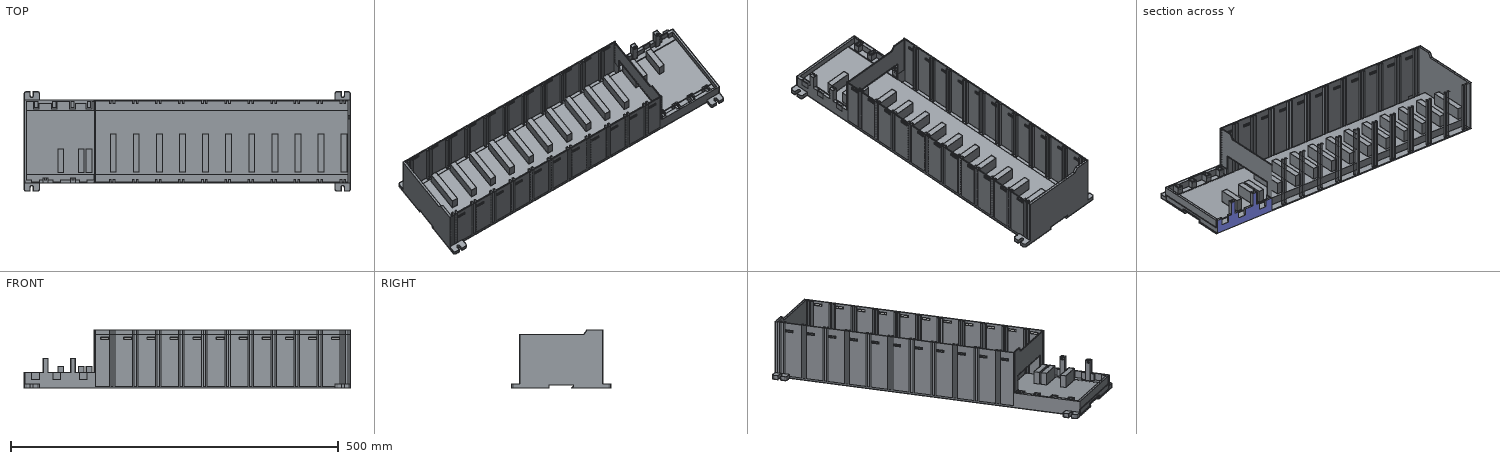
import cadquery as cq

LENGTH = 497.5
FULL_DEPTH = 151.5
HEIGHT = 89.0

BODY_DEPTH = 127.0
HALF_BODY = BODY_DEPTH / 2
LOW_HEIGHT = 24.0
CAGE_X = 106.5
LONG_WALL = 1.5
END_WALL = 3.5
PARTITION = 2.5
INNER_HALF = HALF_BODY - LONG_WALL
CAGE_INNER_X = CAGE_X + PARTITION
INNER_END_X = LENGTH - END_WALL

FRONT_TOP = 82.0
STEP_TOP_Y = 39.5
STEP_FOOT_Y = 34.5

BOARD_TOP = 14.5
BOARD_THICKNESS = 1.5
BOARD_BACK_Y = 47.0
BOARD_FRONT_Y = -50.0
LOW_TRAY_Z = BOARD_TOP - BOARD_THICKNESS
CAGE_TRAY_Z = 2.5
WINDOW_TOP = 46.5

CONNECTOR_TOP = 33.5
CONNECTOR_WIDTH = 9.0
CAGE_CONNECTOR_FRONT_Y = -46.5
CAGE_CONNECTOR_DEPTH = 57.5
LOW_CONNECTOR_FRONT_Y = -47.0
LOW_CONNECTOR_DEPTH = 36.0
LOW_CONNECTOR_X = (51.0, 82.5, 94.5)

CARD_COUNT = 11
FIRST_TO_LAST_CARD = 352.0
CARD_PITCH = FIRST_TO_LAST_CARD / (CARD_COUNT - 1)
FIRST_SLOT_X = 117.0
SLOT_WIDTH = 12.0
SLOT_BOTTOM = 74.5
SLOT_HEIGHT = 3.0
FIRST_GUIDE_X = 130.0
GUIDE_WIDTH = 8.5
GUIDE_RIB = 2.5
GUIDE_DEPTH = 4.0
FIRST_CONNECTOR_X = 131.5

POST_X = (14.0, 41.5, 69.0, 94.5)
POST_WIDTH = 9.0
POST_FRONT_Y = 49.5
POST_WALL = 2.0
POST_POCKET_DEPTH = 5.0
BACK_WALL_INNER_Y = 60.5
THICK_BACK_Y = 57.5
THICK_BACK_SPANS = ((POST_X[0], POST_X[1]), (POST_X[2], POST_X[3]))
THICK_FRONT_Y = -58.5
THICK_FRONT_SPANS = ((END_WALL, 11.0), (23.5, 44.0), (55.5, 84.0), (96.0, CAGE_X))

TAB_X = (29.0, 70.5)
TAB_WIDTH = 7.5
TAB_TOP = 45.5
TAB_BACK_Y = -55.5
TAB_NOTCH_WIDTH = 3.0
TAB_NOTCH_LENGTH = 3.0
TAB_NOTCH_DEPTH = 4.0

FOOT_LENGTH = 23.5
FOOT_HEIGHT = 6.5
FOOT_RADIUS = 3.0
FOOT_SLOT_X = 11.5
FOOT_SLOT_WIDTH = 4.5
FOOT_SLOT_DEPTH = 8.5

RAIL_DEPTH = 4.5
RAIL_HALF = 18.5
RAIL_LIP_Y = 15.5
RAIL_LIP_HEIGHT = 3.0

SET_BACK = 1.0
END_SET_BACK_TOP = 10.5
SEAM_WIDTH = 1.5


def block(x0, x1, y0, y1, z0, z1):
    """Box between the given limits."""
    return cq.Workplane("XY").box(x1 - x0, y1 - y0, z1 - z0, centered=False).translate((x0, y0, z0))


def card_x(first_x):
    """X of one feature at each card position."""
    return [first_x + i * CARD_PITCH for i in range(CARD_COUNT)]


def make_cage():
    profile = [
        (-HALF_BODY, 0),
        (-HALF_BODY, FRONT_TOP),
        (STEP_FOOT_Y, FRONT_TOP),
        (STEP_TOP_Y, HEIGHT),
        (HALF_BODY, HEIGHT),
        (HALF_BODY, 0),
    ]
    cage = cq.Workplane("YZ").workplane(offset=CAGE_X).polyline(profile).close().extrude(LENGTH - CAGE_X)
    cage = cage.cut(block(CAGE_INNER_X, INNER_END_X, -INNER_HALF, INNER_HALF, BOARD_TOP, HEIGHT))
    for y0, y1 in ((BOARD_BACK_Y, INNER_HALF), (-INNER_HALF, BOARD_FRONT_Y)):
        cage = cage.cut(block(CAGE_INNER_X, INNER_END_X, y0, y1, CAGE_TRAY_Z, BOARD_TOP))
    return cage.cut(block(CAGE_X, CAGE_INNER_X, BOARD_FRONT_Y, BOARD_BACK_Y, BOARD_TOP, WINDOW_TOP))


def add_card_guides(cage):
    guide_rows = (
        (INNER_HALF - GUIDE_DEPTH, INNER_HALF, HEIGHT),
        (-INNER_HALF, GUIDE_DEPTH - INNER_HALF, FRONT_TOP),
    )
    for x in card_x(FIRST_GUIDE_X):
        for rib_x in (x, x + GUIDE_WIDTH - GUIDE_RIB):
            for y0, y1, top in guide_rows:
                cage = cage.union(block(rib_x, rib_x + GUIDE_RIB, y0, y1, CAGE_TRAY_Z, top))
    return cage


def cut_latch_slots(cage):
    slot_top = SLOT_BOTTOM + SLOT_HEIGHT
    for x in card_x(FIRST_SLOT_X):
        cage = cage.cut(block(x, x + SLOT_WIDTH, -HALF_BODY, HALF_BODY, SLOT_BOTTOM, slot_top))
    return cage


def make_low_bay():
    bay = block(0, CAGE_X, -HALF_BODY, HALF_BODY, 0, LOW_HEIGHT)
    bay = bay.cut(block(END_WALL, CAGE_X, -INNER_HALF, BACK_WALL_INNER_Y, LOW_TRAY_Z, LOW_HEIGHT))
    bay = bay.union(block(END_WALL, CAGE_X, BOARD_FRONT_Y, BOARD_BACK_Y, LOW_TRAY_Z, BOARD_TOP))
    for x0, x1 in THICK_BACK_SPANS:
        bay = bay.union(block(x0, x1, THICK_BACK_Y, HALF_BODY, LOW_TRAY_Z, LOW_HEIGHT))
    for x0, x1 in THICK_FRONT_SPANS:
        bay = bay.union(block(x0, x1, -HALF_BODY, THICK_FRONT_Y, LOW_TRAY_Z, LOW_HEIGHT))
    return bay


def add_posts(bay):
    for x in POST_X:
        bay = bay.union(block(x, x + POST_WIDTH, POST_FRONT_Y, HALF_BODY, LOW_TRAY_Z, LOW_HEIGHT))
        pocket = block(
            x + POST_WALL, x + POST_WIDTH - POST_WALL,
            POST_FRONT_Y + POST_WALL, BACK_WALL_INNER_Y,
            LOW_HEIGHT - POST_POCKET_DEPTH, LOW_HEIGHT,
        )
        bay = bay.cut(pocket)
    return bay


def add_tabs(bay):
    for x in TAB_X:
        bay = bay.union(block(x, x + TAB_WIDTH, -HALF_BODY, TAB_BACK_Y, LOW_TRAY_Z, TAB_TOP))
        notch_x = x + (TAB_WIDTH - TAB_NOTCH_WIDTH) / 2
        notch = block(
            notch_x, notch_x + TAB_NOTCH_WIDTH,
            TAB_BACK_Y - TAB_NOTCH_LENGTH, TAB_BACK_Y,
            TAB_TOP - TAB_NOTCH_DEPTH, TAB_TOP,
        )
        bay = bay.cut(notch)
    return bay


def make_connectors():
    rows = (
        (card_x(FIRST_CONNECTOR_X), CAGE_CONNECTOR_FRONT_Y, CAGE_CONNECTOR_DEPTH),
        (LOW_CONNECTOR_X, LOW_CONNECTOR_FRONT_Y, LOW_CONNECTOR_DEPTH),
    )
    connectors = cq.Workplane("XY")
    for places, front_y, depth in rows:
        for x in places:
            connector = block(x, x + CONNECTOR_WIDTH, front_y, front_y + depth, LOW_TRAY_Z, CONNECTOR_TOP)
            connectors = connectors.add(connector)
    return connectors.combine()


def make_feet():
    """Four feet, mirrored from the one at the back left."""
    outer_y = FULL_DEPTH / 2
    foot = block(0, FOOT_LENGTH, INNER_HALF, outer_y, 0, FOOT_HEIGHT)
    foot = foot.edges("|Z and >Y").fillet(FOOT_RADIUS)
    slot_radius = FOOT_SLOT_WIDTH / 2
    slot_end_y = outer_y - FOOT_SLOT_DEPTH + slot_radius
    slot = block(FOOT_SLOT_X - slot_radius, FOOT_SLOT_X + slot_radius, slot_end_y, outer_y, 0, FOOT_HEIGHT)
    slot = slot.union(
        cq.Workplane("XY").center(FOOT_SLOT_X, slot_end_y).circle(slot_radius).extrude(FOOT_HEIGHT))
    left_back = foot.cut(slot)
    back = left_back.union(left_back.mirror("YZ").translate((LENGTH, 0, 0)))
    return back.union(back.mirror("XZ"))


def make_rail_groove():
    profile = [
        (RAIL_LIP_Y, 0),
        (RAIL_HALF, RAIL_LIP_HEIGHT),
        (RAIL_HALF, RAIL_DEPTH),
        (-RAIL_HALF, RAIL_DEPTH),
        (-RAIL_HALF, 0),
    ]
    return cq.Workplane("YZ").polyline(profile).close().extrude(LENGTH)


def set_back_left_faces(body):
    body = body.cut(block(CAGE_X, CAGE_X + SET_BACK, -INNER_HALF, INNER_HALF, LOW_HEIGHT, HEIGHT))
    recess = block(0, SET_BACK, -INNER_HALF, INNER_HALF, LONG_WALL, END_SET_BACK_TOP)
    rail_half = RAIL_HALF + LONG_WALL
    recess = recess.cut(block(0, SET_BACK, -rail_half, rail_half, 0, RAIL_DEPTH + LONG_WALL))
    seam = block(0, SET_BACK, -INNER_HALF, SEAM_WIDTH - INNER_HALF, END_SET_BACK_TOP, LOW_HEIGHT)
    return body.cut(recess).cut(seam)


cage = cut_latch_slots(add_card_guides(make_cage()))
low_bay = add_tabs(add_posts(make_low_bay()))
housing = set_back_left_faces(cage.union(low_bay))
result = housing.union(make_connectors()).union(make_feet()).cut(make_rail_groove())